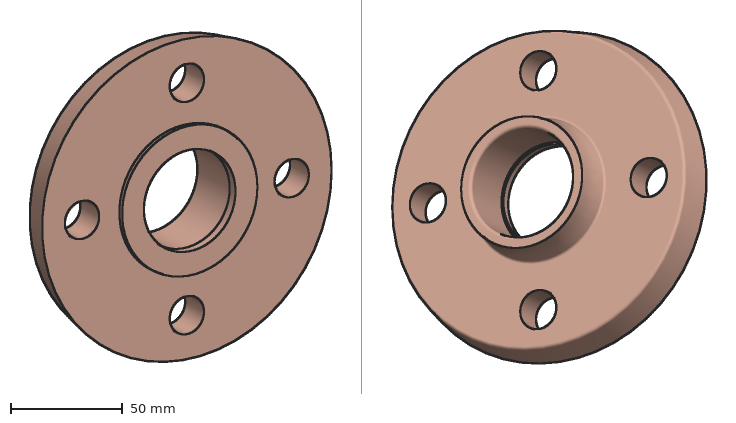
import cadquery as cq

FLANGE_DIAMETER = 152.0
FLANGE_HUB_SIDE_DIAMETER = 146.2
FLANGE_EDGE_ROUND = 1.5
HUB_LENGTH = 16.9
FLANGE_THICKNESS = 16.3

TOTAL_LENGTH = 35.5
RAISED_FACE_DIAMETER = 71.0

HUB_END_DIAMETER = 60.3
HUB_MIDDLE_DIAMETER = 62.0
HUB_BASE_DIAMETER = 66.3
HUB_FOOT_ROUND = 1.0

BORE_DIAMETER = 50.0
LIP_DIAMETER = 48.0
LIP_LENGTH = 5.0
BORE_MOUTH_ROUND = 1.5

BOLT_HOLE_DIAMETER = 18.0
BOLT_CIRCLE_DIAMETER = 110.0
BOLT_COUNT = 4

FLANGE_BACK = HUB_LENGTH + FLANGE_THICKNESS
RAISED_FACE_HEIGHT = TOTAL_LENGTH - FLANGE_BACK


def flange_disc():
    """Tapered disc with a rounded edge on the hub side."""
    disc = (
        cq.Workplane("XY")
        .moveTo(HUB_LENGTH, 0)
        .lineTo(HUB_LENGTH, FLANGE_HUB_SIDE_DIAMETER / 2)
        .lineTo(FLANGE_BACK, FLANGE_DIAMETER / 2)
        .lineTo(FLANGE_BACK, 0)
        .close()
        .revolve(360, (0, 0, 0), (1, 0, 0))
    )
    return disc.faces("<X").edges().fillet(FLANGE_EDGE_ROUND)


def hub():
    """Solid hub with an arc-shaped flare, ending on the disc."""
    return (
        cq.Workplane("XY")
        .moveTo(0, 0)
        .lineTo(0, HUB_END_DIAMETER / 2)
        .threePointArc(
            (HUB_LENGTH / 2, HUB_MIDDLE_DIAMETER / 2),
            (HUB_LENGTH, HUB_BASE_DIAMETER / 2),
        )
        .lineTo(HUB_LENGTH, 0)
        .close()
        .revolve(360, (0, 0, 0), (1, 0, 0))
    )


def cylinder(diameter, start, length):
    """Cylinder on the X axis, from the position start toward +X."""
    return cq.Workplane("YZ", origin=(start, 0, 0)).circle(diameter / 2).extrude(length)


def bolt_holes():
    """Cutters for the bolt holes, on the Y and Z axes."""
    return (
        cq.Workplane("YZ")
        .polarArray(BOLT_CIRCLE_DIAMETER / 2, 0, 360, BOLT_COUNT)
        .circle(BOLT_HOLE_DIAMETER / 2)
        .extrude(TOTAL_LENGTH)
    )


body = flange_disc().union(hub())
foot_edge = cq.selectors.RadiusNthSelector(0)
hub_side_face = "<X[1]"
body = body.faces(hub_side_face).edges(foot_edge).fillet(HUB_FOOT_ROUND)

body = body.union(cylinder(RAISED_FACE_DIAMETER, FLANGE_BACK, RAISED_FACE_HEIGHT))

body = body.cut(cylinder(LIP_DIAMETER, 0, TOTAL_LENGTH))
body = body.cut(cylinder(BORE_DIAMETER, 0, TOTAL_LENGTH - LIP_LENGTH))
body = body.cut(bolt_holes())

mouth_edge = cq.selectors.RadiusNthSelector(0)
result = body.faces("<X").edges(mouth_edge).fillet(BORE_MOUTH_ROUND)